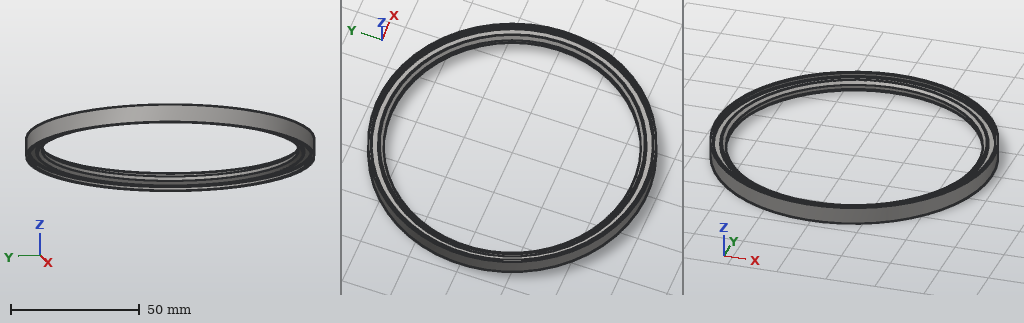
import cadquery as cq

outer_radius = 56.0
rim_inner_radius = 55.0
floor_outer_radius = 54.7
floor_inner_radius = 52.2
ridge_radius = 51.5
bore_radius = 50.0

half_height = 7.0 / 2
ridge_height = 2.4
rim_bevel_height = 2.1
floor_height = 1.7
bore_half_height = 0.9

upper_section = [
    (outer_radius, half_height),
    (rim_inner_radius, half_height),
    (rim_inner_radius, rim_bevel_height),
    (floor_outer_radius, floor_height),
    (floor_inner_radius, floor_height),
    (ridge_radius, ridge_height),
    (bore_radius, bore_half_height),
]
lower_section = [(radius, -height) for radius, height in reversed(upper_section)]

ring = (
    cq.Workplane("XZ")
    .polyline(upper_section + lower_section)
    .close()
    .revolve(360, (0, 0, 0), (0, 1, 0))
)

result = ring.translate((0, 0, half_height))